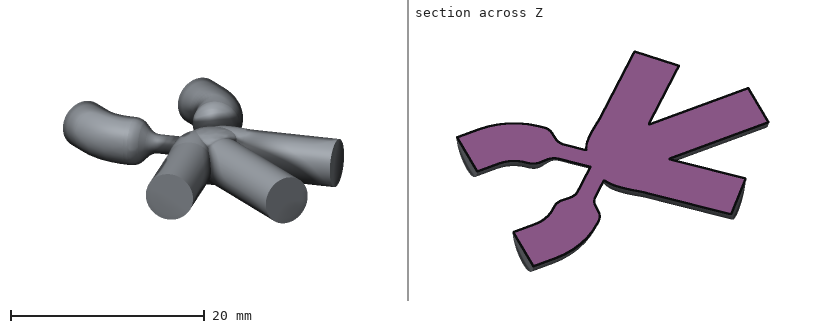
import cadquery as cq
import math

total_length = 30.0
inlet_reach = 12.3
straight_reach = total_length - inlet_reach
branch_angle = 42.8
tube_radius = 2.5
rod_radius = 1.0

arm_end_offset = 9.98
arm_length = arm_end_offset / math.sin(math.radians(branch_angle))

inlet_offset = 6.85
inlet_straight = 2.5

reducer_collar = 0.43
reducer_round = 1.5
cone_angle = 45.0
cone_length = (tube_radius - rod_radius) / math.tan(math.radians(cone_angle))

hub_core_sections = [
    (-1.2, 1.5, 1.1),
    (0.5, 3.3, 2.5),
    (2.4, 4.2, 2.835),
    (4.4, tube_radius, tube_radius),
]

arm_root = (-1.1, rod_radius)
arm_shoulder_points = [(-0.1, 1.57), (0.8, 2.22), (2.4, 2.6)]
arm_shoulder_end = (5.1, tube_radius)


def cylinder_along_x(radius, length):
    return cq.Workplane("YZ").circle(radius).extrude(length)


def turned_about_origin(body, angle):
    return body.rotate((0, 0, 0), (0, 0, 1), angle)


def make_hub_core():
    """Smooth bulb flowing into the straight outlet."""
    wires = []
    for x, half_width, half_height in hub_core_sections:
        section = cq.Workplane("YZ", origin=(x, 0, 0)).ellipse(half_width, half_height)
        wires.append(section.val())
    return cq.Workplane(cq.Solid.makeLoft(wires))


def make_arm():
    """Slanted outlet on +Y with its swollen root."""
    root_x, root_radius = arm_root
    shoulder = (
        cq.Workplane("XY")
        .moveTo(root_x, 0)
        .lineTo(root_x, root_radius)
        .spline(arm_shoulder_points + [arm_shoulder_end], includeCurrent=True)
        .lineTo(arm_shoulder_end[0], 0)
        .close()
        .revolve(360, (0, 0, 0), (1, 0, 0))
    )
    arm_start = arm_shoulder_end[0]
    tube = cylinder_along_x(tube_radius, arm_length - arm_start).translate((arm_start, 0, 0))
    return turned_about_origin(shoulder.union(tube), branch_angle)


def make_inlet():
    """Inlet on +Y: straight tube, bend, reducer and rod down to the origin."""
    slant = math.radians(branch_angle)
    corner_x = -inlet_offset / math.tan(slant)
    bend_start_x = inlet_straight - inlet_reach
    tangent_length = corner_x - bend_start_x
    bend_radius = tangent_length / math.tan(slant / 2)
    bend_center_y = inlet_offset - bend_radius
    bend_end_y = bend_center_y + bend_radius * math.cos(slant)
    bend_end_distance = bend_end_y / math.sin(slant)

    straight = cylinder_along_x(tube_radius, inlet_straight).translate((-inlet_reach, inlet_offset, 0))
    bend = (
        cq.Workplane("YZ", origin=(bend_start_x, inlet_offset, 0))
        .circle(tube_radius)
        .revolve(branch_angle, (-bend_radius, 1, 0), (-bend_radius, 0, 0))
    )
    rod = make_reducer_and_rod(bend_end_distance)
    return straight.union(bend).union(turned_about_origin(rod, -branch_angle))


def make_reducer_and_rod(length):
    """Reducer and rod along X, from -length up to the origin."""
    half_angle = math.radians(cone_angle) / 2
    round_tangent = reducer_round * math.tan(half_angle)
    round_rise = reducer_round * (1 - math.cos(2 * half_angle))
    round_run = reducer_round * math.sin(2 * half_angle)
    mid_rise = reducer_round * (1 - math.cos(half_angle))
    mid_run = reducer_round * math.sin(half_angle)

    convex_start = reducer_collar - length
    concave_end = convex_start + 2 * round_tangent + cone_length
    return (
        cq.Workplane("XY")
        .moveTo(-length, 0)
        .lineTo(-length, tube_radius)
        .lineTo(convex_start, tube_radius)
        .threePointArc(
            (convex_start + mid_run, tube_radius - mid_rise),
            (convex_start + round_run, tube_radius - round_rise),
        )
        .lineTo(concave_end - round_run, rod_radius + round_rise)
        .threePointArc(
            (concave_end - mid_run, rod_radius + mid_rise),
            (concave_end, rod_radius),
        )
        .lineTo(0, rod_radius)
        .lineTo(0, 0)
        .close()
        .revolve(360, (0, 0, 0), (1, 0, 0))
    )


def make_straight_outlet():
    start_x = hub_core_sections[-1][0]
    return cylinder_along_x(tube_radius, straight_reach - start_x).translate((start_x, 0, 0))


result = make_hub_core().union(make_straight_outlet())
for branch in (make_arm(), make_inlet()):
    result = result.union(branch).union(branch.mirror("XZ"))